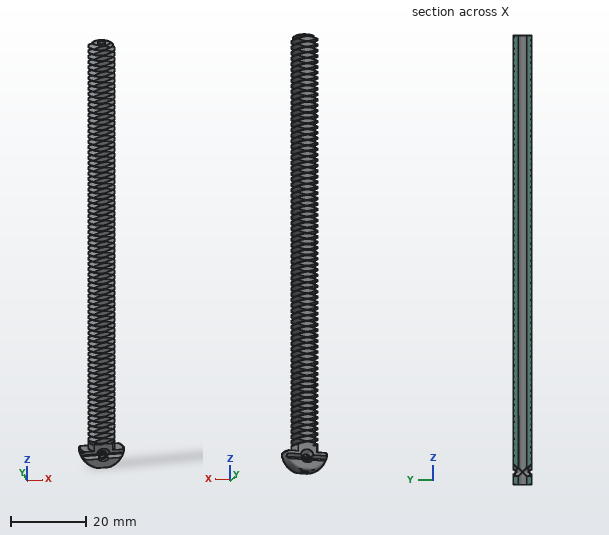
import cadquery as cq
import math

total_length = 119.4
flat_spacing = 5.0
half_flat = flat_spacing / 2

head_width = 12.2
head_height = 5.0
head_rim_chamfer = 0.4
head_edge_fillet = 0.6
bottom_blend_radius = 1.8
ball_center_height = 5.6
rim_height = head_height - head_rim_chamfer
ball_radius = math.hypot(head_width / 2, ball_center_height - rim_height)

neck_top = 6.8
shaft_radius = 3.6
tip_taper_height = 0.8
tip_clearance = 0.6

root_radius = 2.3
crest_width = 0.06
thread_turns = 75
thread_length = total_length - neck_top
pitch = thread_length / thread_turns
half_groove = (pitch - crest_width) / 2
turns_below_neck_top = 1.6
turns_above_tip = 1.4

hole_diameter = 2.0
hole_radius = hole_diameter / 2
cross_hole_height = 3.5
mouth_height = 3.8
mouth_radius = 1.8
groove_height = 1.4
groove_depth = 1.0


def make_slab():
    """Block between the two flat sides, with rounded lower edges."""
    slab = cq.Workplane("XY").box(2 * head_width, flat_spacing, total_length, centered=(True, True, False))
    return slab.edges("|X and <Z").fillet(head_edge_fillet)


def make_head():
    """Domed disc trimmed to the flat sides, with rounded edges all along them."""
    ball_center = (0, 0, ball_center_height)
    ball = cq.Workplane("XY").sphere(ball_radius).translate(ball_center)

    disc = cq.Workplane("XY").circle(head_width / 2).extrude(head_height)
    disc = disc.faces(">Z").edges().chamfer(head_rim_chamfer)
    dome = disc.intersect(ball).faces("<Z").edges().fillet(bottom_blend_radius)

    round_plate = cq.Workplane("XZ").circle(ball_radius).extrude(half_flat, both=True)
    ball_slice = round_plate.translate(ball_center).intersect(ball)
    ball_slice = ball_slice.faces("<Y or >Y").edges().fillet(head_edge_fillet)
    return dome.intersect(ball_slice).intersect(make_slab())


def helix_turn(radius, start_height):
    """One turn of a helix around Z, starting on the +X side."""
    turn = cq.Wire.makeHelix(pitch, pitch, radius)
    return turn.translate(cq.Vector(0, 0, start_height)).Edges()[0]


def thread_profile(start_height):
    """Radius and height of the corners of one ridge, from root to root."""
    lower_crest = start_height + half_groove
    return [
        (root_radius, start_height),
        (shaft_radius, lower_crest),
        (shaft_radius, lower_crest + crest_width),
        (root_radius, start_height + pitch),
    ]


def thread_end_faces(height):
    """Spiral floor inside the root helix and the flat step across one ridge."""
    axis_foot = cq.Vector(0, 0, height)
    axis_head = cq.Vector(0, 0, height + pitch)
    axis = cq.Edge.makeLine(axis_foot, axis_head)
    spiral = cq.Face.makeRuledSurface(axis, helix_turn(root_radius, height))
    ridge = [cq.Vector(radius, 0, z) for radius, z in thread_profile(height)]
    step = cq.Face.makeFromWires(cq.Wire.makePolygon([axis_foot, *ridge, axis_head], close=True))
    return [spiral, step]


def make_thread():
    """Round threaded rod that runs past both ends of the finished thread."""
    turns = math.ceil(thread_turns + turns_below_neck_top + turns_above_tip)
    bottom = neck_top - turns_below_neck_top * pitch
    top = bottom + turns * pitch

    profile = thread_profile(bottom)
    one_turn = []
    for lower, upper in zip(profile, profile[1:]):
        one_turn.append(cq.Face.makeRuledSurface(helix_turn(*lower), helix_turn(*upper)))

    faces = thread_end_faces(bottom) + thread_end_faces(top)
    for index in range(turns):
        rise = cq.Vector(0, 0, index * pitch)
        faces += [face.translate(rise) for face in one_turn]
    return cq.Workplane(obj=cq.Solid.makeSolid(cq.Shell.makeShell(faces)).fix())


def make_shaft():
    """Round neck and thread; a cone narrows the tip down to the thread root."""
    neck_height = neck_top - rim_height
    neck = cq.Workplane("XY").workplane(offset=rim_height).circle(shaft_radius).extrude(neck_height)
    outer_radius = shaft_radius + tip_clearance
    taper_slope = tip_taper_height / (shaft_radius - root_radius)
    taper_start = total_length - taper_slope * (outer_radius - root_radius)
    envelope = (
        cq.Workplane("XZ")
        .moveTo(0, neck_top)
        .lineTo(outer_radius, neck_top)
        .lineTo(outer_radius, taper_start)
        .lineTo(root_radius, total_length)
        .lineTo(0, total_length)
        .close()
        .revolve(360, (0, 0), (0, 1))
    )
    slab = make_slab()
    return neck.intersect(slab).union(make_thread().intersect(envelope.intersect(slab)))


def cut_wire_grooves(body):
    """V grooves along the flat sides of the head."""
    for side in (-1, 1):
        profile = [
            (side * half_flat, cross_hole_height - groove_height / 2),
            (side * (half_flat - groove_depth), cross_hole_height),
            (side * half_flat, cross_hole_height + groove_height / 2),
        ]
        groove = cq.Workplane("YZ").polyline(profile).close().extrude(head_width, both=True)
        body = body.cut(groove)
    return body


def cut_wire_holes(body):
    """Hole along the axis, and a cross hole with conical mouths."""
    axial_hole = cq.Workplane("XY").circle(hole_radius).extrude(total_length)
    cross_hole = cq.Workplane("XZ").circle(hole_radius).extrude(flat_spacing, both=True)
    body = body.cut(axial_hole).cut(cross_hole.translate((0, 0, cross_hole_height)))
    for side in (-1, 1):
        mouth_face = cq.Vector(0, side * half_flat, mouth_height)
        mouth = cq.Solid.makeCone(mouth_radius, 0, mouth_radius, mouth_face, cq.Vector(0, -side, 0))
        body = body.cut(cq.Workplane(obj=mouth))
    return body


result = cut_wire_holes(cut_wire_grooves(make_head().union(make_shaft())))